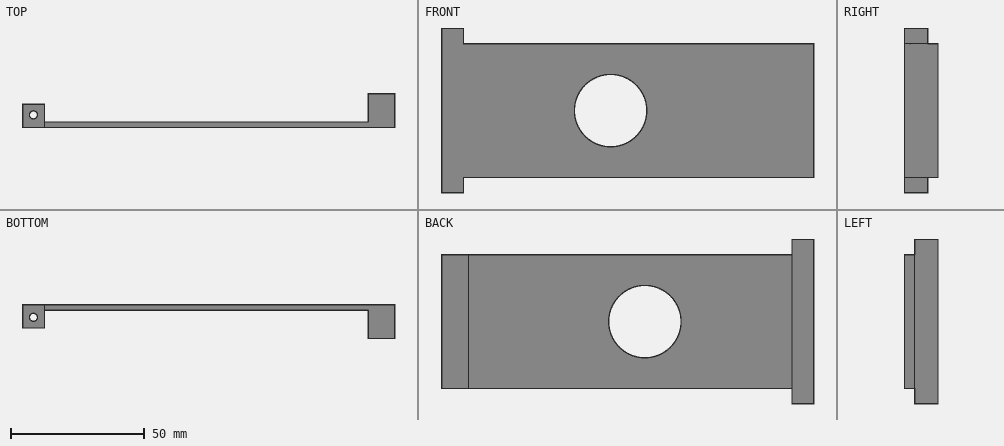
import cadquery as cq

length = 139.0
plate_height = 50.0
plate_thickness = 2.1

post_width = 8.2
post_depth = 8.8
post_height = 61.5
pin_hole_diameter = 2.9
pin_hole_x = 4.0
pin_hole_y = 4.7

block_width = 10.0
block_depth = 12.6

window_diameter = 27.0
window_x = 63.1


def upright_box(x_start, width, depth, height):
    """Box with its front face at Y = 0, centred on Z = 0."""
    box = cq.Workplane("XY").box(width, depth, height, centered=(False, False, True))
    return box.translate((x_start, 0, 0))


plate = upright_box(0, length, plate_thickness, plate_height)
post = upright_box(0, post_width, post_depth, post_height)
block = upright_box(length - block_width, block_width, block_depth, plate_height)

pin_hole = (
    cq.Workplane("XY")
    .center(pin_hole_x, pin_hole_y)
    .circle(pin_hole_diameter / 2)
    .extrude(post_height / 2, both=True)
)
window = (
    cq.Workplane("XZ")
    .center(window_x, 0)
    .circle(window_diameter / 2)
    .extrude(-plate_thickness)
)

result = plate.union(post).union(block).cut(pin_hole).cut(window)